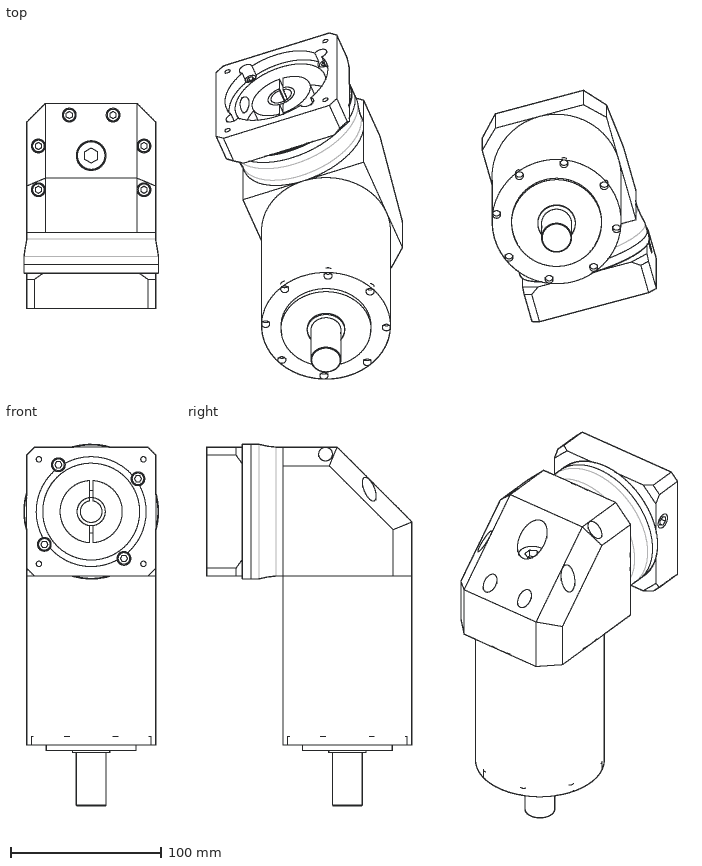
import cadquery as cq
import math


TOTAL_HEIGHT = 241.0
BODY_WIDTH = 86.0
FLANGE_DIA = 90.0
INPUT_FACE_Y = -93.87

HALF_WIDTH = BODY_WIDTH / 2
FLANGE_RADIUS = FLANGE_DIA / 2
INPUT_AXIS_Z = TOTAL_HEIGHT - FLANGE_RADIUS
BOX_BOTTOM_Z = INPUT_AXIS_Z - HALF_WIDTH
BOX_TOP_Z = INPUT_AXIS_Z + HALF_WIDTH
OVERLAP = 2.5

SHAFT_DIA = 20.0
SHAFT_END_CHAMFER = 0.5
SHOULDER_DIA = 25.0
SHOULDER_Z = 35.5
PILOT_DIA = 60.0
PILOT_Z = 36.9
BARREL_BOTTOM_Z = 40.5

MOUNT_HOLE_COUNT = 8
MOUNT_HOLE_DIA = 5.3
MOUNT_HOLE_DEPTH = 5.8
MOUNT_CIRCLE_RADIUS = 40.2

SLOPE_SIZE = 50.0
BOX_CHAMFER = 12.5

SCREW_CIRCLE_RADIUS = 38.0
HEAD_RADIUS = 3.9
HEAD_HEIGHT = 4.8
SOCKET_WIDTH = 4.0
SOCKET_DEPTH = 2.5

WELL_RADIUS = 4.5
WELL_FLOOR_Z = 168.7
WELL_COUNT = 6
WELL_PITCH_ANGLE = 45.0
WELL_FIRST_ANGLE = -WELL_PITCH_ANGLE / 2
OIL_PLUG_Y = 8.2
OIL_PLUG_WELL_RADIUS = 10.0
OIL_PLUG_RADIUS = 9.2
OIL_PLUG_TOP_Z = 212.0
OIL_PLUG_WELL_FLOOR_Z = 207.3
OIL_PLUG_SOCKET_WIDTH = 8.7
OIL_PLUG_SOCKET_DEPTH = 4.8

NECK_CONE_START_Y = -47.5
NECK_CONE_END_Y = -59.0
PLATE_SEAT_Y = -64.3
SPIGOT_FACE_Y = -68.0

DISC_END_Y = -70.4
DISC_EDGE_CHAMFER = 0.5
PLATE_CORNER_CHAMFER = 5.3
PLATE_BACK_CHAMFER = 3.9
BORE_RADIUS = 32.3
RECESS_RADIUS = 36.6
RECESS_DEPTH = 7.7
MOTOR_HOLE_SPACING = 69.6
MOTOR_HOLE_DIA = 3.5
MOTOR_HOLE_DEPTH = 12.0

PLATE_SCREW_COUNT = 4
PLATE_SCREW_FIRST_ANGLE = 35.0
PLATE_SCREW_WELL_RADIUS = 4.5
PLATE_SCREW_TOP_Y = INPUT_FACE_Y + 8.7
PLATE_SCREW_SEAT_Y = PLATE_SCREW_TOP_Y + HEAD_HEIGHT
SCREW_SHANK_RADIUS = 2.5
SCREW_SHANK_END_Y = PLATE_SEAT_Y + 7.2

HUB_RADIUS = 20.7
HUB_FACE_Y = -84.8
CLAMP_SLOT_WIDTH = 2.5
INNER_SLOT_REACH = 14.2
INNER_SLOT_EXTRA_DEPTH = 2.5
BUSHING_OUTER_RADIUS = 9.5
BUSHING_INNER_RADIUS = 7.2
BUSHING_LENGTH = 29.0

ACCESS_Y = -77.8
ACCESS_Z = INPUT_AXIS_Z + INNER_SLOT_REACH
ACCESS_RADIUS = 5.0
ACCESS_PLUG_LENGTH = 7.2
ACCESS_SOCKET_WIDTH = 5.8
ACCESS_SOCKET_DEPTH = 3.5


def input_plane(y):
    """Plane across the input axis, with its normal toward -Y."""
    return cq.Workplane("XZ", origin=(0, y, INPUT_AXIS_Z))


def input_cylinder(radius, start_y, end_y):
    return input_plane(start_y).circle(radius).extrude(start_y - end_y)


def hexagon(plane, width_across_flats, depth):
    return plane.polygon(6, width_across_flats / math.cos(math.pi / 6)).extrude(-depth)


def polar(radius, angle):
    turn = math.radians(angle)
    return radius * math.cos(turn), radius * math.sin(turn)


def output_side():
    """Shaft, pilot and barrel, turned about Z."""
    shaft_radius = SHAFT_DIA / 2
    profile = (
        cq.Workplane("XZ")
        .moveTo(0, 0)
        .lineTo(shaft_radius - SHAFT_END_CHAMFER, 0)
        .lineTo(shaft_radius, SHAFT_END_CHAMFER)
        .lineTo(shaft_radius, SHOULDER_Z)
        .lineTo(SHOULDER_DIA / 2, SHOULDER_Z)
        .lineTo(SHOULDER_DIA / 2, PILOT_Z)
        .lineTo(PILOT_DIA / 2, PILOT_Z)
        .lineTo(PILOT_DIA / 2, BARREL_BOTTOM_Z)
        .lineTo(HALF_WIDTH, BARREL_BOTTOM_Z)
        .lineTo(HALF_WIDTH, BOX_BOTTOM_Z)
        .lineTo(0, BOX_BOTTOM_Z)
        .close()
    )
    mount_holes = (
        cq.Workplane("XY", origin=(0, 0, BARREL_BOTTOM_Z))
        .polarArray(MOUNT_CIRCLE_RADIUS, 180 / MOUNT_HOLE_COUNT, 360, MOUNT_HOLE_COUNT)
        .circle(MOUNT_HOLE_DIA / 2)
        .extrude(MOUNT_HOLE_DEPTH)
    )
    return profile.revolve(360, (0, 0, 0), (0, 1, 0)).cut(mount_holes)


def socket_head_in_well(x, y, well_radius, floor_z, head_radius, head_top_z, socket_width, socket_depth):
    """Vertical well and the socket head that stands on its floor."""
    well = (
        cq.Workplane("XY", origin=(x, y, floor_z)).circle(well_radius).extrude(TOTAL_HEIGHT - floor_z)
    )
    head = cq.Workplane("XY", origin=(x, y, floor_z)).circle(head_radius).extrude(head_top_z - floor_z)
    socket_plane = cq.Workplane("XY", origin=(x, y, head_top_z)).transformed(rotate=(0, 0, 90))
    return well, head.cut(hexagon(socket_plane, socket_width, socket_depth))


def gear_box():
    """Box with a 45 degree back slope, chamfered sides and recessed screws."""
    slope_start_y = HALF_WIDTH - SLOPE_SIZE
    slope_end_z = BOX_TOP_Z - SLOPE_SIZE
    box = (
        cq.Workplane("YZ", origin=(-HALF_WIDTH, 0, 0))
        .moveTo(-HALF_WIDTH, BOX_BOTTOM_Z)
        .lineTo(HALF_WIDTH, BOX_BOTTOM_Z)
        .lineTo(HALF_WIDTH, slope_end_z)
        .lineTo(slope_start_y, BOX_TOP_Z)
        .lineTo(-HALF_WIDTH, BOX_TOP_Z)
        .close()
        .extrude(BODY_WIDTH)
    )
    for side in ("<X", ">X"):
        side_edges = box.faces(side).edges("not (<Y or <Z)")
        box = side_edges.chamfer(BOX_CHAMFER)
    fittings = [
        socket_head_in_well(
            *polar(SCREW_CIRCLE_RADIUS, WELL_FIRST_ANGLE + i * WELL_PITCH_ANGLE),
            WELL_RADIUS,
            WELL_FLOOR_Z,
            HEAD_RADIUS,
            WELL_FLOOR_Z + HEAD_HEIGHT,
            SOCKET_WIDTH,
            SOCKET_DEPTH,
        )
        for i in range(WELL_COUNT)
    ]
    fittings.append(
        socket_head_in_well(
            0,
            OIL_PLUG_Y,
            OIL_PLUG_WELL_RADIUS,
            OIL_PLUG_WELL_FLOOR_Z,
            OIL_PLUG_RADIUS,
            OIL_PLUG_TOP_Z,
            OIL_PLUG_SOCKET_WIDTH,
            OIL_PLUG_SOCKET_DEPTH,
        )
    )
    for well, head in fittings:
        box = box.cut(well).union(head)
    return box


def input_neck():
    """Flared neck and centring spigot, turned about the input axis."""
    outline = (
        cq.Workplane("XY", origin=(0, 0, INPUT_AXIS_Z))
        .moveTo(0, -HALF_WIDTH + OVERLAP)
        .lineTo(HALF_WIDTH, -HALF_WIDTH + OVERLAP)
        .lineTo(HALF_WIDTH, NECK_CONE_START_Y)
        .lineTo(FLANGE_RADIUS, NECK_CONE_END_Y)
        .lineTo(FLANGE_RADIUS, PLATE_SEAT_Y)
        .lineTo(BORE_RADIUS, PLATE_SEAT_Y)
        .lineTo(BORE_RADIUS, SPIGOT_FACE_Y)
        .lineTo(0, SPIGOT_FACE_Y)
        .close()
    )
    return outline.revolve(360, (0, 0, 0), (0, 1, 0))


def clamp_slot(reach, end_y):
    """Vertical slot across the hub, from its front face back to end_y."""
    return input_plane(end_y).rect(CLAMP_SLOT_WIDTH, 2 * reach).extrude(end_y - HUB_FACE_Y)


def make_gearbox():
    hub = input_cylinder(HUB_RADIUS, SPIGOT_FACE_Y + OVERLAP, HUB_FACE_Y)
    gearbox = output_side().union(gear_box()).union(input_neck()).union(hub)
    gearbox = gearbox.cut(input_cylinder(BUSHING_OUTER_RADIUS, HUB_FACE_Y + BUSHING_LENGTH, HUB_FACE_Y))
    gearbox = gearbox.cut(clamp_slot(HUB_RADIUS, SPIGOT_FACE_Y))
    gearbox = gearbox.cut(clamp_slot(INNER_SLOT_REACH, SPIGOT_FACE_Y + INNER_SLOT_EXTRA_DEPTH))
    for x, z in plate_screw_places():
        tapped_hole = input_cylinder(SCREW_SHANK_RADIUS, SCREW_SHANK_END_Y, PLATE_SEAT_Y)
        gearbox = gearbox.cut(tapped_hole.translate((x, 0, z)))
    return gearbox


def plate_screw_places():
    """X and Z offsets of the plate screws from the input axis."""
    step = 360 / PLATE_SCREW_COUNT
    return [polar(SCREW_CIRCLE_RADIUS, PLATE_SCREW_FIRST_ANGLE + i * step) for i in range(PLATE_SCREW_COUNT)]


def access_plane():
    """Plane on the -X side of the plate, centred on the access hole, with its normal toward -X."""
    return cq.Workplane(cq.Plane((-HALF_WIDTH, ACCESS_Y, ACCESS_Z), xDir=(0, 0, 1), normal=(-1, 0, 0)))


def make_motor_plate():
    square = (
        input_plane(DISC_END_Y)
        .rect(BODY_WIDTH, BODY_WIDTH)
        .extrude(DISC_END_Y - INPUT_FACE_Y)
        .edges("|Y")
        .chamfer(PLATE_CORNER_CHAMFER)
    )
    corner_back_edges = square.faces(">Y").edges("not (|X or |Z)")
    square = corner_back_edges.chamfer(PLATE_BACK_CHAMFER)
    disc = input_cylinder(FLANGE_RADIUS, PLATE_SEAT_Y, DISC_END_Y).faces("<Y").edges()
    plate = square.union(disc.chamfer(DISC_EDGE_CHAMFER))
    plate = plate.cut(input_cylinder(BORE_RADIUS, PLATE_SEAT_Y, INPUT_FACE_Y))
    plate = plate.cut(input_cylinder(RECESS_RADIUS, INPUT_FACE_Y + RECESS_DEPTH, INPUT_FACE_Y))
    for x, z in plate_screw_places():
        well = input_cylinder(PLATE_SCREW_WELL_RADIUS, PLATE_SCREW_SEAT_Y, INPUT_FACE_Y)
        shank_hole = input_cylinder(SCREW_SHANK_RADIUS, PLATE_SEAT_Y, PLATE_SCREW_SEAT_Y)
        plate = plate.cut(well.union(shank_hole).translate((x, 0, z)))
    motor_holes = (
        input_plane(INPUT_FACE_Y)
        .rect(MOTOR_HOLE_SPACING, MOTOR_HOLE_SPACING, forConstruction=True)
        .vertices()
        .circle(MOTOR_HOLE_DIA / 2)
        .extrude(-MOTOR_HOLE_DEPTH)
    )
    access_hole = access_plane().circle(ACCESS_RADIUS).extrude(-HALF_WIDTH)
    return plate.cut(motor_holes).cut(access_hole)


def make_plate_screw(x, z):
    head = input_cylinder(HEAD_RADIUS, PLATE_SCREW_SEAT_Y, PLATE_SCREW_TOP_Y)
    shank = input_cylinder(SCREW_SHANK_RADIUS, SCREW_SHANK_END_Y, PLATE_SCREW_SEAT_Y)
    socket = hexagon(input_plane(PLATE_SCREW_TOP_Y), SOCKET_WIDTH, SOCKET_DEPTH)
    return head.union(shank).cut(socket).translate((x, 0, z))


def make_access_plug():
    plug = access_plane().circle(ACCESS_RADIUS).extrude(-ACCESS_PLUG_LENGTH)
    return plug.cut(hexagon(access_plane(), ACCESS_SOCKET_WIDTH, ACCESS_SOCKET_DEPTH))


def make_bushing():
    """Sleeve in the hub bore, split along its top."""
    end_y = HUB_FACE_Y + BUSHING_LENGTH
    bushing = input_cylinder(BUSHING_OUTER_RADIUS, end_y, HUB_FACE_Y)
    bushing = bushing.cut(input_cylinder(BUSHING_INNER_RADIUS, end_y, HUB_FACE_Y))
    split = (
        input_plane(end_y)
        .center(0, BUSHING_OUTER_RADIUS / 2)
        .rect(CLAMP_SLOT_WIDTH, BUSHING_OUTER_RADIUS)
        .extrude(BUSHING_LENGTH)
    )
    return bushing.cut(split)


gearbox = make_gearbox()
motor_plate = make_motor_plate()
plate_screws = [make_plate_screw(x, z) for x, z in plate_screw_places()]
access_plug = make_access_plug()
bushing = make_bushing()

result = cq.Compound.makeCompound(
    [
        gearbox.val(),
        motor_plate.val(),
        *[screw.val() for screw in plate_screws],
        access_plug.val(),
        bushing.val(),
    ]
)